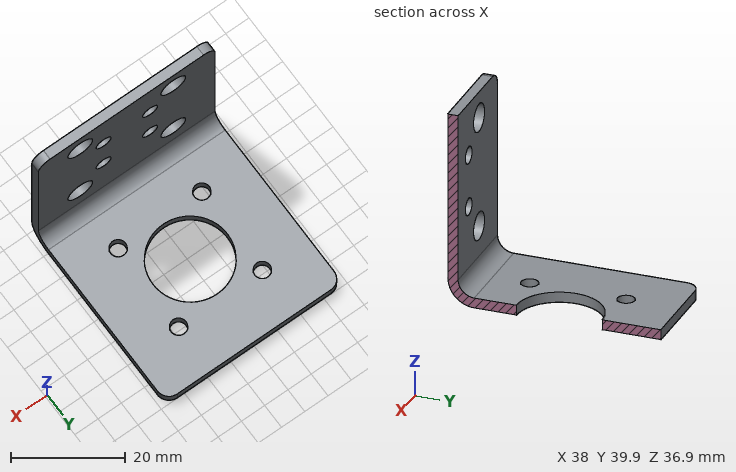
import cadquery as cq

width = 38.0
depth = 39.86
height = 36.86
thickness = 2.0
inner_bend_radius = 3.0
outer_bend_radius = inner_bend_radius + thickness
corner_radius = 2.5

wall_hole_diameter = 5.3
wall_hole_pitch_x = 20.0
wall_hole_pitch_z = 21.0
wall_hole_top_margin = 5.0
wall_small_hole_diameter = 3.2
wall_small_hole_pitch = 10.0
wall_small_hole_top_margin = 10.0

bore_diameter = 16.0
bore_back_margin = 19.0
base_hole_diameter = 3.2
base_hole_pitch = 18.0



def bent_sheet():
    """L-shaped sheet with concentric inner and outer bend arcs."""
    profile = (
        cq.Workplane("YZ")
        .moveTo(depth, 0)
        .lineTo(outer_bend_radius, 0)
        .radiusArc((0, outer_bend_radius), outer_bend_radius)
        .lineTo(0, height)
        .lineTo(thickness, height)
        .lineTo(thickness, outer_bend_radius)
        .radiusArc((outer_bend_radius, thickness), -inner_bend_radius)
        .lineTo(depth, thickness)
        .close()
    )
    return profile.extrude(width / 2, both=True)


def round_free_corners(body):
    """Round the two free corners of the wall and of the base."""
    body = body.faces(">Z").edges("|Y").fillet(corner_radius)
    return body.faces(">Y").edges("|Z").fillet(corner_radius)


def wall_holes(pitch_x, pitch_z, top_margin, diameter):
    """Cutters for a 2 x 2 hole pattern through the upright wall."""
    centre_z = height - top_margin - pitch_z / 2
    return (
        cq.Workplane("XZ", origin=(0, 0, centre_z))
        .rarray(pitch_x, pitch_z, 2, 2)
        .circle(diameter / 2)
        .extrude(-thickness)
    )


def base_holes():
    """Cutters for the bore and the four holes around it."""
    base_plane = cq.Workplane("XY", origin=(0, depth - bore_back_margin, 0))
    bore = base_plane.circle(bore_diameter / 2).extrude(thickness)
    holes = (
        base_plane.rarray(base_hole_pitch, base_hole_pitch, 2, 2)
        .circle(base_hole_diameter / 2)
        .extrude(thickness)
    )
    return bore.add(holes).combine()


result = round_free_corners(bent_sheet())
result = result.cut(
    wall_holes(wall_hole_pitch_x, wall_hole_pitch_z, wall_hole_top_margin, wall_hole_diameter)
)
result = result.cut(
    wall_holes(
        wall_small_hole_pitch,
        wall_small_hole_pitch,
        wall_small_hole_top_margin,
        wall_small_hole_diameter,
    )
)
result = result.cut(base_holes())